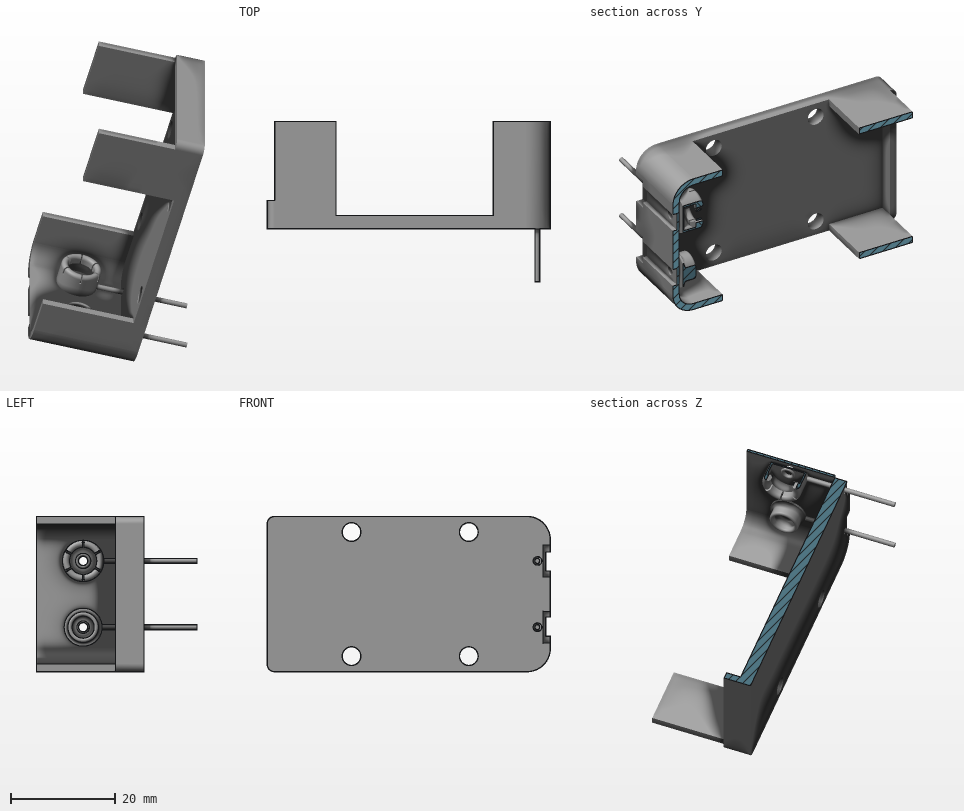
import cadquery as cq


LENGTH = 54.3
HEIGHT = 29.8
DEPTH = 20.6
WALL = 1.45
FLOOR = 2.6
LIP_DEPTH = 5.5
CONTACT_END_RADIUS = 4.5
ARM_GAP_START = 13.25
ARM_GAP_END = 43.3

MOUNT_HOLE_DIAMETER = 3.55
MOUNT_HOLE_XS = (16.2, 38.65)
MOUNT_HOLE_Z = 11.9

CONTACT_Y = 11.65
CONTACT_Z = 6.35
CONTACT_BACK_X = 52.1
SHEET = 0.4
EYELET_RADIUS = 0.85

PIN_RADIUS = 0.5
PIN_X = 51.8
PIN_TIP_Y = -10.15
PIN_HOLE_RADIUS = 0.8

RECESS_WIDTH = 6.1
GROOVE_DEPTH = 0.85
GROOVE_WIDTH = 3.65
GROOVE_Z = 6.25

SOCKET_RADIUS = 3.95
SOCKET_BORE_RADIUS = 2.6
SOCKET_HEIGHT = 4.5
SOCKET_LIP_LENGTH = 0.9
SOCKET_BEAD_WIDTH = 0.6
PETALS = 6
PETAL_SLOT_WIDTH = 0.3

STUD_FLANGE_RADIUS = 3.65
STUD_RADIUS = 2.95
STUD_BORE_RADIUS = 2.1
STUD_HEIGHT = 3.0
STUD_FOOT_FILLET = 0.5
STUD_BORE_FILLET = 0.4
STUD_BEAD_WIDTH = 0.3


def box(x_range, y_range, z_range):
    """Box given by its limits along each axis."""
    size = [end - start for start, end in (x_range, y_range, z_range)]
    corner = (x_range[0], y_range[0], z_range[0])
    return cq.Workplane("XY").box(*size, centered=False).translate(corner)


def cylinder_y(radius, x, z, y_start, y_end):
    """Cylinder along Y."""
    solid = cq.Solid.makeCylinder(radius, y_end - y_start, cq.Vector(x, y_start, z), cq.Vector(0, 1, 0))
    return cq.Workplane(obj=solid)


def cylinder_x(radius, z, x_start, x_end):
    """Cylinder along X on the axis of the contact at height z."""
    start = cq.Vector(x_start, CONTACT_Y, z)
    return cq.Workplane(obj=cq.Solid.makeCylinder(radius, x_end - x_start, start, cq.Vector(1, 0, 0)))


def housing_shell():
    """Floor, side walls, contact wall and low end wall, before any holes."""
    half = HEIGHT / 2
    outside = box((0, LENGTH), (0, DEPTH), (-half, half))
    outside = outside.edges("|Y and <X").fillet(WALL)
    outside = outside.edges("|Y and >X").fillet(CONTACT_END_RADIUS)

    inner_half = half - WALL
    bay = box((WALL, LENGTH - WALL), (FLOOR, DEPTH), (-inner_half, inner_half))
    bay = bay.edges("|Y and >X").fillet(CONTACT_END_RADIUS - WALL)

    above_lip = box((0, WALL), (LIP_DEPTH, DEPTH), (-half, half))
    arm_gap = box((ARM_GAP_START, ARM_GAP_END), (FLOOR, DEPTH), (-half, half))
    return outside.cut(bay).cut(above_lip).cut(arm_gap)


def cut_mounting_holes(body):
    for x in MOUNT_HOLE_XS:
        for z in (-MOUNT_HOLE_Z, MOUNT_HOLE_Z):
            body = body.cut(cylinder_y(MOUNT_HOLE_DIAMETER / 2, x, z, 0, FLOOR))
    return body


def cut_contact_openings(body, side):
    """Pin hole, eyelet hole, recess and groove on one side (+1 or -1) of the middle plane."""
    z = side * CONTACT_Z
    wall_x = LENGTH - WALL
    groove_z = side * GROOVE_Z
    recess = box((wall_x, LENGTH), (0, FLOOR), (z - RECESS_WIDTH / 2, z + RECESS_WIDTH / 2))
    groove = box(
        (LENGTH - GROOVE_DEPTH, LENGTH),
        (0, DEPTH),
        (groove_z - GROOVE_WIDTH / 2, groove_z + GROOVE_WIDTH / 2),
    )
    pin_hole = cylinder_y(PIN_HOLE_RADIUS, PIN_X, z, 0, FLOOR)
    eyelet_hole = cylinder_x(EYELET_RADIUS, z, wall_x, LENGTH)
    return body.cut(recess).cut(groove).cut(pin_hole).cut(eyelet_hole)


def make_housing():
    body = cut_mounting_holes(housing_shell())
    for side in (-1, 1):
        body = cut_contact_openings(body, side)
    return body


def place_contact(contact, z):
    """Move a contact built around the X axis, with its back at X = 0, into the housing."""
    return contact.translate((CONTACT_BACK_X, CONTACT_Y, z))


def revolved(profile):
    """Turn a profile drawn as (X, radius) around the X axis."""
    return profile.close().revolve(360, (0, 0, 0), (1, 0, 0))


def base_profile(rim_radius):
    """Back and edge of a contact base, from the eyelet hole out to the front of the rim."""
    return (
        cq.Workplane("XY")
        .moveTo(0, EYELET_RADIUS)
        .lineTo(0, rim_radius)
    )


def half_round(profile, x, outer_radius, inner_radius):
    """Add a half circle that bulges towards -X, going inwards from (x, outer_radius)."""
    bulge = (outer_radius - inner_radius) / 2
    return profile.threePointArc((x - bulge, inner_radius + bulge), (x, inner_radius))


def make_socket():
    """Cup with petals, its back at X = 0 and its mouth towards -X."""
    rim_x = (SOCKET_RADIUS - SOCKET_BORE_RADIUS) / 2 - SOCKET_HEIGHT
    lip_x = rim_x + SOCKET_LIP_LENGTH
    cavity_radius = SOCKET_RADIUS - SHEET
    bead_radius = EYELET_RADIUS + SOCKET_BEAD_WIDTH
    profile = base_profile(SOCKET_RADIUS).lineTo(rim_x, SOCKET_RADIUS)
    profile = half_round(profile, rim_x, SOCKET_RADIUS, SOCKET_BORE_RADIUS)
    profile = (
        profile
        .lineTo(lip_x, SOCKET_BORE_RADIUS)
        .lineTo(lip_x, cavity_radius)
        .lineTo(-SHEET, cavity_radius)
        .lineTo(-SHEET, bead_radius)
    )
    profile = half_round(profile, -SHEET, bead_radius, EYELET_RADIUS)
    socket = revolved(profile)

    slot = box(
        (-SOCKET_HEIGHT, lip_x),
        (-PETAL_SLOT_WIDTH / 2, PETAL_SLOT_WIDTH / 2),
        (0, SOCKET_RADIUS),
    )
    for index in range(PETALS):
        socket = socket.cut(slot.rotate((0, 0, 0), (1, 0, 0), index * 360 / PETALS))
    return socket


def make_stud():
    """Hollow post on a flange, its back at X = 0 and its rim towards -X."""
    rim_x = (STUD_RADIUS - STUD_BORE_RADIUS) / 2 - STUD_HEIGHT
    bead_radius = EYELET_RADIUS + STUD_BEAD_WIDTH
    profile = (
        base_profile(STUD_FLANGE_RADIUS)
        .lineTo(-SHEET, STUD_FLANGE_RADIUS)
        .lineTo(-SHEET, STUD_RADIUS + STUD_FOOT_FILLET)
        .radiusArc((-SHEET - STUD_FOOT_FILLET, STUD_RADIUS), STUD_FOOT_FILLET)
        .lineTo(rim_x, STUD_RADIUS)
    )
    profile = half_round(profile, rim_x, STUD_RADIUS, STUD_BORE_RADIUS)
    profile = (
        profile
        .lineTo(-SHEET - STUD_BORE_FILLET, STUD_BORE_RADIUS)
        .radiusArc((-SHEET, STUD_BORE_RADIUS - STUD_BORE_FILLET), STUD_BORE_FILLET)
        .lineTo(-SHEET, bead_radius)
    )
    profile = half_round(profile, -SHEET, bead_radius, EYELET_RADIUS)
    return revolved(profile)


def make_pin(z, contact_radius):
    """Round pin whose inner end is hollowed to sit against the edge of its contact."""
    pin = cylinder_y(PIN_RADIUS, PIN_X, z, PIN_TIP_Y, CONTACT_Y)
    contact_edge = cylinder_x(contact_radius, z, PIN_X - PIN_RADIUS, PIN_X + PIN_RADIUS)
    return pin.cut(contact_edge)


housing = make_housing()
socket = place_contact(make_socket(), CONTACT_Z)
stud = place_contact(make_stud(), -CONTACT_Z)

pins = []
for pin_z, edge_radius in ((CONTACT_Z, SOCKET_RADIUS), (-CONTACT_Z, STUD_FLANGE_RADIUS)):
    pins.append(make_pin(pin_z, edge_radius))

result = cq.Compound.makeCompound([
    housing.solids().val(),
    socket.solids().val(),
    stud.solids().val(),
    *[pin.solids().val() for pin in pins],
])